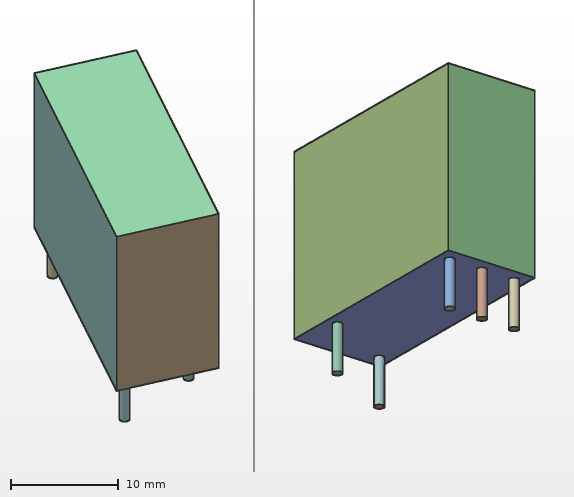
import cadquery as cq

housing_length = 24.0
housing_width = 10.0
overall_height = 24.3
pin_length = 5.05
housing_height = overall_height - pin_length

pin_diameter = 1.0
end_pin_offset = 10.5
inner_pin_offset = 7.0
row_spacing = 3.72

pin_places = [
    (-end_pin_offset, -row_spacing),
    (-end_pin_offset, 0),
    (-end_pin_offset, row_spacing),
    (end_pin_offset, -row_spacing),
    (inner_pin_offset, row_spacing),
]


def make_housing():
    """Plain rectangular block with its underside at Z = 0."""
    return cq.Workplane("XY").box(
        housing_length, housing_width, housing_height, centered=(True, True, False)
    )


def make_pin(x, y):
    """Round pin hanging from the underside of the housing."""
    return cq.Workplane("XY").center(x, y).circle(pin_diameter / 2).extrude(-pin_length)


housing = make_housing()
pins = [make_pin(x, y) for x, y in pin_places]

result = cq.Compound.makeCompound([housing.val(), *[pin.val() for pin in pins]])